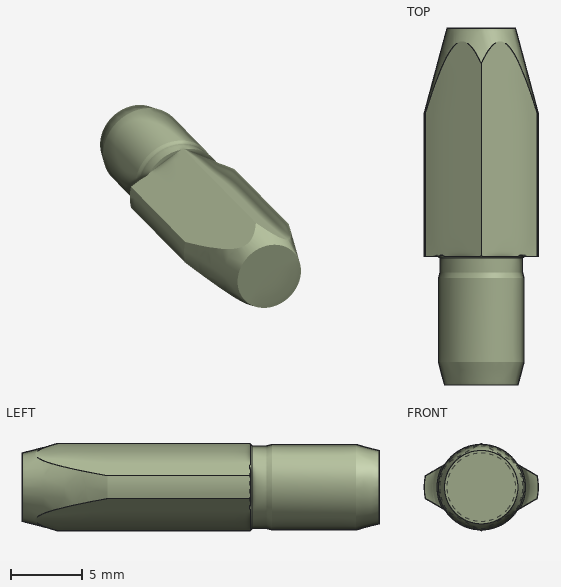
import cadquery as cq
import math

total_length = 25
body_start = 9
shank_chamfer_length = 1.6
shank_end = 7.5

shank_radius = 3
neck_radius = 2.9
body_radius = 4
nose_tip_radius = 2.4

ridge_height = 3.062
flat_angle = 30

taper = math.tan(math.radians(15))

groove_outer_radius = 3.42
groove_root_radius = 3.1
groove_depth = 0.1
neck_top = 8.9


def revolve_profile(points):
    """Turn a closed (radius, y) outline around the Y axis."""
    return cq.Workplane("XY").polyline(points).close().revolve(360, (0, 0, 0), (0, 1, 0))


def make_flats():
    """Rhombic prism spanning the body and its groove."""
    half_width = ridge_height / math.tan(math.radians(flat_angle))
    return (
        cq.Workplane("XZ", origin=(0, total_length, 0))
        .polyline([
            (half_width, 0),
            (0, ridge_height),
            (-half_width, 0),
            (0, -ridge_height),
        ])
        .close()
        .extrude(total_length - neck_top)
    )


def make_body():
    """Flats cut on a round bar with a tapered nose and a grooved back face."""
    nose_length = (body_radius - nose_tip_radius) / taper
    turned_bar = revolve_profile([
        (0, neck_top),
        (neck_radius, neck_top),
        (groove_root_radius, body_start + groove_depth),
        (groove_outer_radius, body_start),
        (body_radius, body_start),
        (body_radius, total_length - nose_length),
        (nose_tip_radius, total_length),
        (0, total_length),
    ])
    return turned_bar.intersect(make_flats())


def make_shank():
    """Chamfered round shank with a relieved neck and a sloped shoulder at the body."""
    groove_bottom = body_start + groove_depth
    shoulder_slope = (groove_bottom - neck_top) / (groove_root_radius - neck_radius)
    shoulder_top = neck_top + shoulder_slope * (shank_radius - neck_radius)
    neck_start = shank_end + (shank_radius - neck_radius) / taper
    return revolve_profile([
        (0, 0),
        (shank_radius - shank_chamfer_length * taper, 0),
        (shank_radius, shank_chamfer_length),
        (shank_radius, shank_end),
        (neck_radius, neck_start),
        (neck_radius, neck_top),
        (shank_radius, shoulder_top),
        (0, shoulder_top),
    ])


result = make_body().union(make_shank())
result = result.translate((0, -total_length / 2, 0))